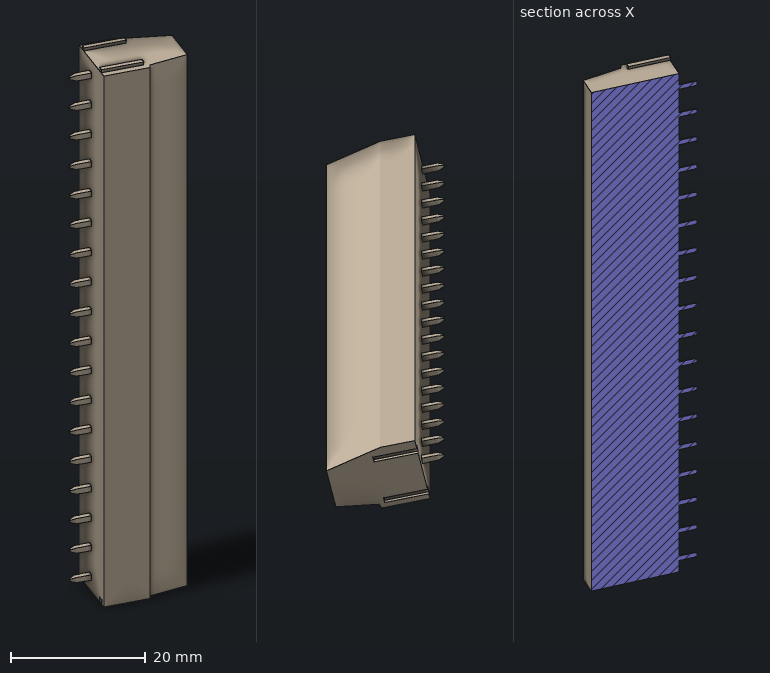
import cadquery as cq

pole_count = 18
rib_height = 0.6
total_height = 90.6
body_height = total_height - rib_height
pitch = body_height / pole_count

body_width = 10.2
body_depth = 13.95
left_wall_depth = 5.25
left_top_inset = 2.2
right_top_inset = 1.7
ledge_depth = 7.3
ledge_width = 0.7
ledge_rise = 0.3

dovetail_positions = (1.8, 9.0)
dovetail_length = 6.7
rib_root_width = 0.4
rib_crest_width = 0.8
slot_mouth_width = 0.8
slot_floor_width = 1.0
slot_depth = 0.8

pin_x = 4.8
pin_width = 0.9
pin_length = 3.35
tip_length = 0.9
tip_width = 0.4


def make_housing():
    """Extruded terminal block profile with a narrow ledge on the +X side."""
    profile = [
        (0, 0),
        (body_width, 0),
        (body_width, ledge_depth),
        (body_width - ledge_width, ledge_depth + ledge_rise),
        (body_width - right_top_inset, body_depth),
        (left_top_inset, body_depth),
        (0, left_wall_depth),
    ]
    return cq.Workplane("XY").polyline(profile).close().extrude(body_height)


def make_dovetail(x, base_z, lower_width, upper_width, height):
    """Dovetail bar running back from the pin face, widening upward from base_z."""
    section = [
        (x - lower_width / 2, base_z),
        (x + lower_width / 2, base_z),
        (x + upper_width / 2, base_z + height),
        (x - upper_width / 2, base_z + height),
    ]
    return cq.Workplane("XZ").polyline(section).close().extrude(-dovetail_length)


def make_pin(z):
    """Square pin projecting from the pin face toward -Y."""
    shank_length = pin_length - tip_length
    shank = cq.Workplane("XZ").center(pin_x, z).rect(pin_width, pin_width).extrude(shank_length)
    tip = (
        cq.Workplane("XZ", origin=(pin_x, -shank_length, z))
        .rect(pin_width, pin_width)
        .workplane(offset=tip_length)
        .rect(tip_width, tip_width)
        .loft(ruled=True)
    )
    return shank.union(tip)


result = make_housing()

for dovetail_x in dovetail_positions:
    rib = make_dovetail(dovetail_x, body_height, rib_root_width, rib_crest_width, rib_height)
    slot = make_dovetail(dovetail_x, 0, slot_mouth_width, slot_floor_width, slot_depth)
    result = result.union(rib).cut(slot)

for pole in range(pole_count):
    result = result.union(make_pin((pole + 0.5) * pitch))